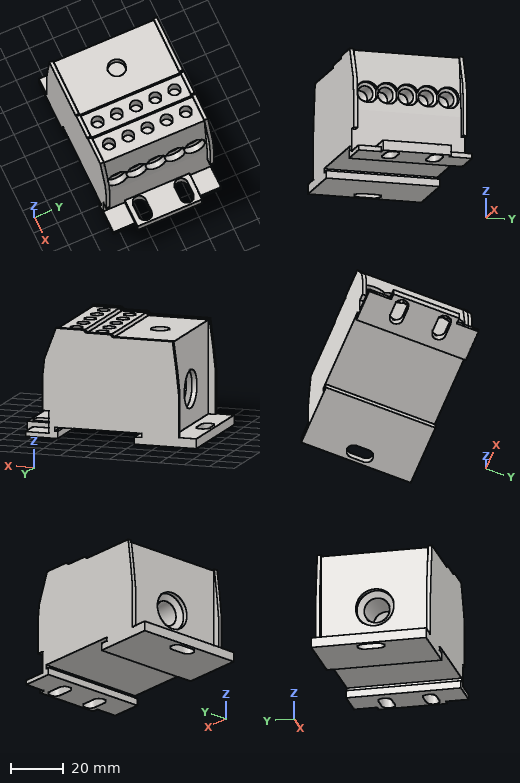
import cadquery as cq
import math

width = 45.0
height = 43.0
wall_thickness = 1.55
core_width = width - 2 * wall_thickness

flange_top = 3.9
right_flange_top = 1.9
right_flange_end = 68.6
rail_top = 4.4
hook_top = 2.9
rail_left = 22.0
rail_right = 56.95
rail_mouth_left = 25.0
rail_mouth_right = 55.65

wall_left = 7.1
wall_right = 61.85
back_face = 59.2
overhang_bottom = 10.65
left_lower_break = (wall_left, 20.6)
left_upper_break = (8.1, 29.8)
wall_top_left = 9.6
right_lower_break = (wall_right, 24.1)
right_upper_break = (61.05, 31.0)
top_right = 56.5

terrace_rise = 1.0
first_ramp_start = 33.6
second_ramp_start = 44.3

core_front = 9.95
core_drop = 0.5
core_ramp_shift = 0.4

foot_end = 71.0
foot_width = 27.0

slot_length = 10.5
slot_width = 5.25
left_slot_x = 4.05
foot_slot_x = 64.8
foot_slot_y = 8.7

main_screw_x = 22.15
main_screw_radius = 3.55
main_screw_depth = 3.0
screw_columns = (39.8, 50.3)
screw_radius = 2.35
screw_depth = 5.0
outlet_count = 5
outlet_pitch = 8.0

drill_half_angle = math.radians(60)
main_entry_z = 17.95
main_entry_radius = 7.45
main_entry_mouth_depth = 2.0
main_bore_radius = 5.0
main_bore_end = 18.45
outlet_z = 26.0
outlet_radius = 4.25
outlet_mouth_depth = 3.0
outlet_bore_radius = 3.0
outlet_bore_end = 11.35

outlet_positions = [(i - (outlet_count - 1) / 2) * outlet_pitch for i in range(outlet_count)]


def extrude_profile(points, depth):
    """Extrude an XZ outline symmetrically about the XZ plane."""
    return cq.Workplane("XZ").polyline(points).close().extrude(depth / 2, both=True)


def terraces(top, shift):
    """Points of the stepped top, from the +X end towards -X."""
    points = []
    for level, start in ((top, second_ramp_start), (top - terrace_rise, first_ramp_start)):
        ramp_foot = start + shift
        points.append((ramp_foot + terrace_rise, level))
        points.append((ramp_foot, level - terrace_rise))
    return points


def base():
    """Lower body with both flanges and the hooked slot for a mounting rail."""
    return extrude_profile(
        [
            (0, 0),
            (rail_mouth_left, 0),
            (rail_mouth_left, hook_top),
            (rail_left, hook_top),
            (rail_left, rail_top),
            (rail_right, rail_top),
            (rail_right, hook_top),
            (rail_mouth_right, hook_top),
            (rail_mouth_right, 0),
            (right_flange_end, 0),
            (right_flange_end, right_flange_top),
            (back_face, right_flange_top),
            (back_face, overhang_bottom),
            (wall_left, overhang_bottom),
            (wall_left, flange_top),
            (0, flange_top),
        ],
        width,
    )


def upper_block():
    """Full-width block with the outline of the side walls."""
    return extrude_profile(
        [
            (wall_left, overhang_bottom),
            (wall_right, overhang_bottom),
            right_lower_break,
            right_upper_break,
            (top_right, height),
            *terraces(height, 0),
            (wall_top_left, height - 2 * terrace_rise),
            left_upper_break,
            left_lower_break,
        ],
        width,
    )


def core_clearance():
    """Space between the side walls that the narrower core leaves free."""
    core_top = height - core_drop
    lean = (wall_right - right_upper_break[0]) / (right_upper_break[1] - right_lower_break[1])
    lean_bottom = core_top - (back_face - top_right) / lean
    core = extrude_profile(
        [
            (core_front, flange_top),
            (back_face, flange_top),
            (back_face, lean_bottom),
            (top_right, core_top),
            *terraces(core_top, core_ramp_shift),
            (core_front, core_top - 2 * terrace_rise),
        ],
        core_width,
    )
    envelope = extrude_profile(
        [(0, flange_top), (back_face, flange_top), (back_face, overhang_bottom),
         (foot_end, overhang_bottom), (foot_end, height), (0, height)],
        core_width,
    )
    return envelope.cut(core)


def foot():
    """Narrow plate lying over the +X flange."""
    return (
        cq.Workplane("XY")
        .box(foot_end - back_face, foot_width, flange_top, centered=(False, True, False))
        .translate((back_face, 0, 0))
    )


def fixing_slots():
    """One slot along Y in the -X flange, two along X in the foot."""
    left = cq.Workplane("XY").center(left_slot_x, 0).slot2D(slot_length, slot_width, 90)
    right = cq.Workplane("XY").pushPoints([(foot_slot_x, -foot_slot_y), (foot_slot_x, foot_slot_y)])
    return left.extrude(flange_top).union(right.slot2D(slot_length, slot_width).extrude(flange_top))


def screw_holes(points, radius, floor):
    """Blind flat-bottomed holes open to the top."""
    plane = cq.Workplane("XY", origin=(0, 0, floor))
    return plane.pushPoints(points).circle(radius).extrude(height - floor)


def wire_entry(mouth_radius, mouth_depth, bore_radius, bore_end):
    """Revolved entry starting at the origin and running along +X."""
    shoulder_end = mouth_depth + (mouth_radius - bore_radius) / math.tan(drill_half_angle)
    tip = bore_end + bore_radius / math.tan(drill_half_angle)
    return (
        cq.Workplane("XY")
        .polyline([(0, 0), (0, mouth_radius), (mouth_depth, mouth_radius),
                   (shoulder_end, bore_radius), (bore_end, bore_radius), (tip, 0)])
        .close()
        .revolve(360, (0, 0), (1, 0))
    )


result = base().union(upper_block()).cut(core_clearance()).union(foot()).cut(fixing_slots())

main_floor = height - core_drop - 2 * terrace_rise - main_screw_depth
result = result.cut(screw_holes([(main_screw_x, 0)], main_screw_radius, main_floor))
for terrace, column in enumerate(screw_columns):
    terrace_top = height - core_drop - (len(screw_columns) - 1 - terrace) * terrace_rise
    points = [(column, y) for y in outlet_positions]
    result = result.cut(screw_holes(points, screw_radius, terrace_top - screw_depth))

main_entry = wire_entry(main_entry_radius, main_entry_mouth_depth, main_bore_radius, main_bore_end)
result = result.cut(main_entry.translate((core_front, 0, main_entry_z)))
outlet = wire_entry(outlet_radius, outlet_mouth_depth, outlet_bore_radius, outlet_bore_end)
outlet = outlet.rotate((0, 0, 0), (0, 0, 1), 180)
for y in outlet_positions:
    result = result.cut(outlet.translate((back_face, y, outlet_z)))